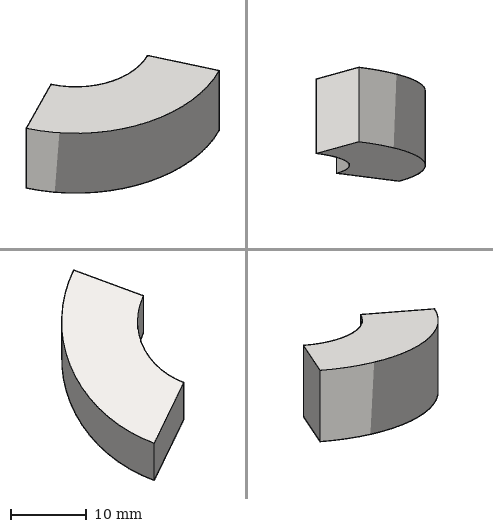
import cadquery as cq

outer_radius = 20.0
section_side = 10.0
sweep_angle = 90.0
inner_radius = outer_radius - section_side

section = (
    cq.Workplane("XZ")
    .moveTo(inner_radius, 0)
    .rect(section_side, section_side, centered=False)
)

result = section.revolve(sweep_angle, (0, 0, 0), (0, -1, 0))